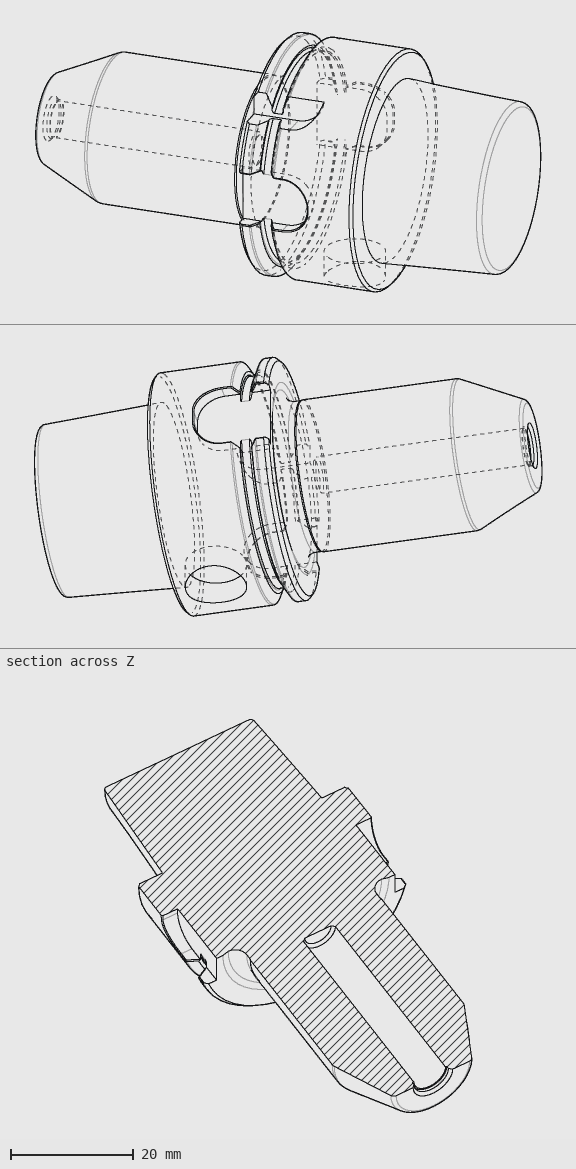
import math

import cadquery as cq

total_length = 80.0
flange_width = 20.0
flange_front = 39.8
flange_rear = flange_front + flange_width

neck_radius = 25.0 / 2
nose_radius = 7.5
nose_angle = math.radians(25)
nose_fillet = 0.8
shoulder_fillet = 1.1
nose_length = (neck_radius - nose_radius) / math.tan(nose_angle)

relief_radius = 24.8 / 2
relief_start = 36.6
relief_run_in = 0.25
root_fillet = 2.2
recess_radius = 15.8
recess_depth = 0.3
recess_floor = flange_front + recess_depth
root_start = recess_floor - root_fillet

flange_radius = 40.0 / 2
front_bevel = 0.7
rear_chamfer = 0.5

groove_center = flange_front + 4.1
groove_radius = 17.45
groove_half_width = 0.97
groove_shoulder_radius = 18.25
groove_half_angle = math.radians(30)
groove_front_fillet = 0.45
groove_rear_fillet = 0.2
groove_mouth_rounding = 0.3
groove_mouth_half_width = groove_half_width + (
    (flange_radius - groove_shoulder_radius) * math.tan(groove_half_angle)
)

taper_base_radius = 15.2
taper_length = total_length - flange_rear
taper_end_radius = taper_base_radius - taper_length / 20
taper_end_fillet = 0.75

bore_radius = 6.0 / 2
entry_radius = 6.5 / 2
entry_depth = 1.0
bore_chamfer = 0.5
bore_depth = 36.0
bore_bottom_radius = 5.0 / 2

slot_end = 52.0
slot_floor = 17.0
slot_corner_radius = 4.5
slot_rim_chamfer = 0.2
narrow_slot_width = 9.0
wide_slot_width = 11.0
notch_offset = 12.0
notch_end_radius = 4.5

chip_diameter = 10.0
chip_depth = 4.6
chip_x = flange_rear - 7.0

cut_margin = 5.0

tolerance = 0.001


def revolve_about_x(profile):
    """Turn a closed XY profile around the X axis."""
    return profile.close().revolve(360, (0, 0, 0), (1, 0, 0))


def fillet_circle(body, x, radius, fillet):
    """Round the circular edges of the given radius centred at (x, 0, 0)."""
    circles = [
        edge
        for edge in body.edges("%CIRCLE").vals()
        if abs(edge.arcCenter().x - x) < tolerance and abs(edge.radius() - radius) < tolerance
    ]
    return body.newObject(circles).fillet(fillet)


def turned_body():
    arc_reach = root_fillet * math.sqrt(0.5)
    profile = (
        cq.Workplane("XY")
        .lineTo(0, nose_radius)
        .lineTo(nose_length, neck_radius)
        .lineTo(relief_start, neck_radius)
        .lineTo(relief_start + relief_run_in, relief_radius)
        .lineTo(root_start, relief_radius)
        .threePointArc(
            (root_start + arc_reach, relief_radius + root_fillet - arc_reach),
            (recess_floor, relief_radius + root_fillet),
        )
        .lineTo(flange_front, recess_radius)
        .lineTo(flange_front, flange_radius - front_bevel)
        .lineTo(flange_front + front_bevel, flange_radius)
        .lineTo(flange_rear - rear_chamfer, flange_radius)
        .lineTo(flange_rear, flange_radius - rear_chamfer)
        .lineTo(flange_rear, taper_base_radius)
        .lineTo(total_length, taper_end_radius)
        .lineTo(total_length, 0)
    )
    body = revolve_about_x(profile)
    body = fillet_circle(body, 0, nose_radius, nose_fillet)
    body = fillet_circle(body, nose_length, neck_radius, shoulder_fillet)
    return fillet_circle(body, total_length, taper_end_radius, taper_end_fillet)


def gripper_groove():
    front_wall = groove_center - groove_half_width
    rear_wall = groove_center + groove_half_width
    front_mouth = groove_center - groove_mouth_half_width
    rear_mouth = groove_center + groove_mouth_half_width
    outer_radius = flange_radius + cut_margin
    profile = (
        cq.Workplane("XY")
        .moveTo(front_wall, groove_radius)
        .lineTo(front_wall, groove_shoulder_radius)
        .lineTo(front_mouth, flange_radius)
        .lineTo(front_mouth, outer_radius)
        .lineTo(rear_mouth, outer_radius)
        .lineTo(rear_mouth, flange_radius)
        .lineTo(rear_wall, groove_shoulder_radius)
        .lineTo(rear_wall, groove_radius)
    )
    groove = revolve_about_x(profile)
    groove = fillet_circle(groove, front_wall, groove_radius, groove_front_fillet)
    return fillet_circle(groove, rear_wall, groove_radius, groove_rear_fillet)


def round_groove_mouth(body):
    for side in (-1, 1):
        mouth_x = groove_center + side * groove_mouth_half_width
        body = fillet_circle(body, mouth_x, flange_radius, groove_mouth_rounding)
    return body


def tool_bore():
    profile = (
        cq.Workplane("XY")
        .lineTo(0, entry_radius + bore_chamfer)
        .lineTo(bore_chamfer, entry_radius)
        .lineTo(entry_depth, entry_radius)
        .lineTo(entry_depth, bore_radius)
        .lineTo(bore_depth - (bore_radius - bore_bottom_radius), bore_radius)
        .lineTo(bore_depth, bore_bottom_radius)
        .lineTo(bore_depth, 0)
    )
    return revolve_about_x(profile)


def drive_slot(width, side):
    """Slot cut into the rim on the given Y side, open at the flange front."""
    start = flange_front - cut_margin
    depth = flange_radius + cut_margin - slot_floor
    corner_x = slot_end - slot_corner_radius
    corner_z = width / 2 - slot_corner_radius
    channel = (
        cq.Workplane("XY")
        .box(corner_x - start, depth, width, centered=(False, False, True))
        .translate((start, slot_floor, 0))
    )
    corner = (
        cq.Workplane("XZ", origin=(corner_x, slot_floor, corner_z))
        .circle(slot_corner_radius)
        .extrude(-depth)
    )
    slot = channel.union(corner)
    if corner_z > 0:
        end_flat = (
            cq.Workplane("XY")
            .box(slot_corner_radius, depth, 2 * corner_z, centered=(False, False, True))
            .translate((corner_x, slot_floor, 0))
        )
        slot = slot.union(corner.mirror("XY")).union(end_flat)
    return slot if side > 0 else slot.mirror("XZ")


def lies_on_rim(edge):
    """Tell whether start, middle and end of an edge are on the outer cylinder of the rim."""
    points = [edge.positionAt(t) for t in (0, 0.5, 1)]
    return all(abs(math.hypot(p.y, p.z) - flange_radius) < tolerance for p in points)


def chamfer_slot_rims(body):
    """Break the edges where the drive slots meet the outer cylinder of the rim."""
    rim_edges = []
    for edge in body.faces("%CYLINDER").edges().vals():
        center = edge.Center()
        on_slot_side = abs(center.y) > slot_floor
        within_slot = center.x < slot_end + tolerance and abs(center.z) < wide_slot_width / 2 + tolerance
        if lies_on_rim(edge) and on_slot_side and within_slot:
            rim_edges.append(edge)
    return body.newObject(rim_edges).chamfer(slot_rim_chamfer)


def orientation_notch():
    start = flange_front - cut_margin
    size = flange_radius + cut_margin - notch_offset
    return (
        cq.Workplane("XY")
        .box(slot_end - start, size, size, centered=False)
        .edges(">X and <Z")
        .fillet(notch_end_radius)
        .translate((start, -notch_offset - size, notch_offset))
    )


def data_chip_pocket():
    """Blind round pocket drilled up into the underside of the rim."""
    return (
        cq.Workplane("XY", origin=(chip_x, 0, -flange_radius + chip_depth))
        .circle(chip_diameter / 2)
        .extrude(-chip_depth - cut_margin)
    )


body = turned_body().cut(gripper_groove())
body = round_groove_mouth(body)
body = body.cut(drive_slot(narrow_slot_width, -1))
body = body.cut(drive_slot(wide_slot_width, 1))
body = chamfer_slot_rims(body)
body = body.cut(orientation_notch())
body = body.cut(data_chip_pocket())
result = body.cut(tool_bore())